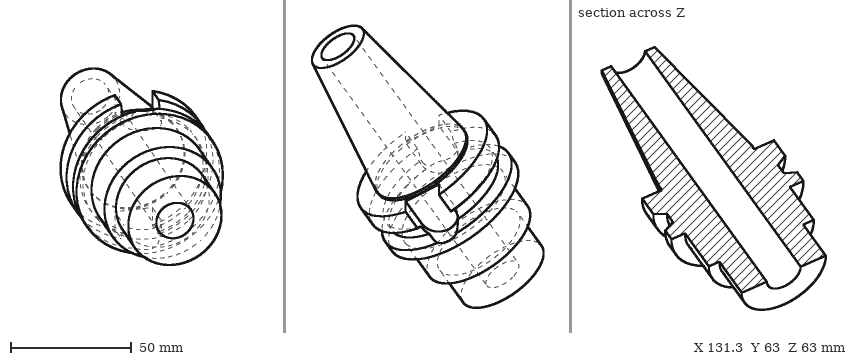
import cadquery as cq

total_length = 131.3
taper_end = 65.4
neck_start = 66.0
flange_start = 67.4
flange_end = 92.3
groove_start = 77.0
groove_floor_start = 79.7
groove_floor_end = 84.4
groove_end = 86.9
body_end = 112.4

taper_ratio = 7 / 24
taper_radius = 22.2
tip_radius = taper_radius - taper_end * taper_ratio / 2
neck_radius = 22.0
flange_radius = 31.5
groove_radius = 26.5
body_radius = 25.1
nose_radius = 20.1
bore_radius = 8.0

slot_width = 16.1
slot_floor = 22.5
slot_end = 88.4


def holder_body():
    """Taper, short land, neck, grooved flange and stepped nose turned about the X axis."""
    outline = [
        (0, 0),
        (0, tip_radius),
        (taper_end, taper_radius),
        (neck_start, taper_radius),
        (neck_start, neck_radius),
        (flange_start, neck_radius),
        (flange_start, flange_radius),
        (groove_start, flange_radius),
        (groove_floor_start, groove_radius),
        (groove_floor_end, groove_radius),
        (groove_end, flange_radius),
        (flange_end, flange_radius),
        (flange_end, body_radius),
        (body_end, body_radius),
        (body_end, nose_radius),
        (total_length, nose_radius),
        (total_length, 0),
    ]
    return cq.Workplane("XY").polyline(outline).close().revolve(360, (0, 0, 0), (1, 0, 0))


def drive_slot():
    """Round-ended cutter for the slot on the +Z side, open toward the taper."""
    half_width = slot_width / 2
    arc_start = slot_end - half_width
    return (
        cq.Workplane("XY", origin=(0, 0, slot_floor))
        .moveTo(flange_start, -half_width)
        .lineTo(arc_start, -half_width)
        .threePointArc((slot_end, 0), (arc_start, half_width))
        .lineTo(flange_start, half_width)
        .close()
        .extrude(flange_radius - slot_floor)
    )


bore = cq.Workplane("YZ").circle(bore_radius).extrude(total_length)

result = holder_body().cut(bore)
for slot_angle in (0, 180):
    result = result.cut(drive_slot().rotate((0, 0, 0), (1, 0, 0), slot_angle))